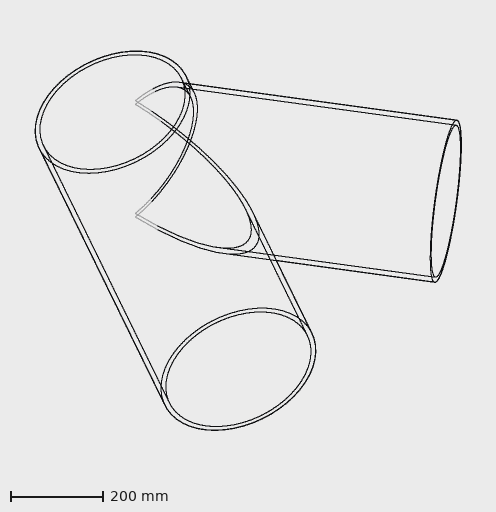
import cadquery as cq
import math

outer_diameter = 355.5
inner_diameter = 333.0
main_length = 838.0
overall_width = 861.0
branch_angle = 60.0
junction_offset = 152.0

outer_radius = outer_diameter / 2
angle = math.radians(branch_angle)

branch_length = (
    overall_width - outer_radius - outer_radius * math.cos(angle)
) / math.sin(angle)

main_direction = cq.Vector(1, 0, 0)
junction = cq.Vector(0, 0, 0)
branch_direction = cq.Vector(math.cos(angle), math.sin(angle), 0)

bore_overrun = 9.0


def wye(diameter, overrun=0.0):
    """Main and branch cylinders of one diameter, with the main lengthened at both ends."""
    radius = diameter / 2
    main_start = cq.Vector(-junction_offset - overrun, 0, 0)
    main = cq.Solid.makeCylinder(radius, main_length + 2 * overrun, main_start, main_direction)
    branch = cq.Solid.makeCylinder(radius, branch_length, junction, branch_direction)
    return cq.Workplane(main).union(cq.Workplane(branch))


result = wye(outer_diameter).cut(wye(inner_diameter, bore_overrun))